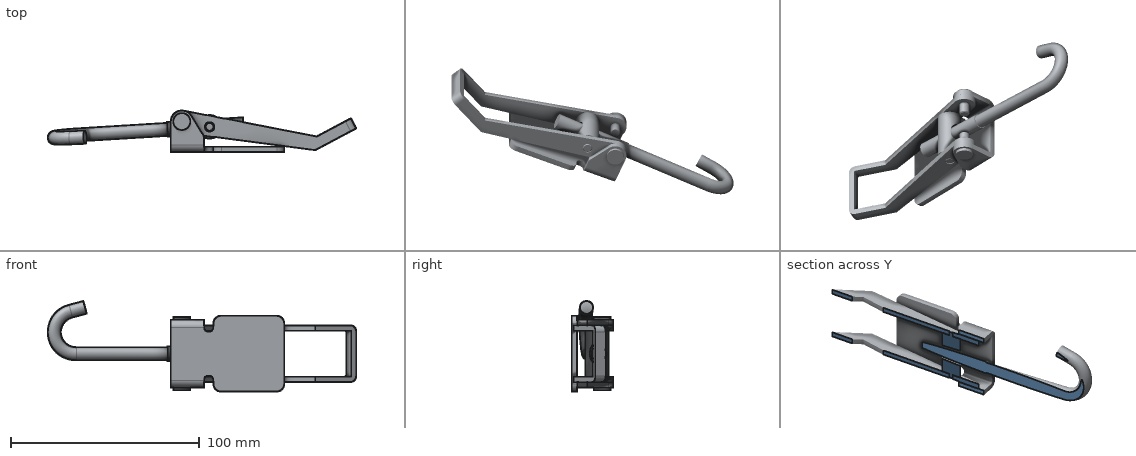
import cadquery as cq
import math

overall_length = 163.4

sheet = 3.0
bracket_height = 36.0
bend_radius = 4.0
arm_left = -5.9
arm_right = 11.8
arm_corner_y = -7.8
arm_tip_radius = 5.9
base_y = -16.2
plate_height = 40.2
plate_left = 16.7
plate_right = 54.2
plate_corner_radius = 4.1

lever_height = bracket_height - 2 * sheet
lever_gap = lever_height - 2 * sheet
lever_tip_radius = arm_tip_radius
elbow_low = (70.5, -15.2)
elbow_high = (71.4, -7.8)
handle_angle = math.radians(28)
handle_length = 24.7
handle_corner_radius = 3.5

rivet_diameter = 5.2
rivet_head_diameter = 9.0
rivet_head = 1.5
rivet_tip_z = 6.2

barrel_x = 14.7
barrel_y = -2.8
barrel_diameter = 12.5
trunnion_diameter = 5.0
end_chamfer = 0.5
slot_length = 10.3

rod_diameter = 7.0
thick_diameter = 8.0
rod_tilt = 3.5
thick_start = -22.4
thick_end = 18.0
hook_radius = 11.5
hook_bend = 165
hook_twist = 3.5
hook_tip = 8.0
hook_left = elbow_low[0] + handle_length * math.cos(handle_angle) - overall_length
lean_shift = hook_radius * math.sin(math.radians(hook_twist)) * math.sin(math.radians(rod_tilt))
bend_centre_x = hook_left + hook_radius + rod_diameter / 2
bend_start = (bend_centre_x - lean_shift - barrel_x) / math.cos(math.radians(rod_tilt))


def cylinder_z(diameter, z_from, z_to, x=0.0, y=0.0):
    """Cylinder along Z between two heights."""
    return cq.Workplane("XY", origin=(x, y, z_from)).circle(diameter / 2).extrude(z_to - z_from)


def box_between(x_range, y_range, z_range):
    """Box spanning the given X, Y and Z ranges."""
    size = [high - low for low, high in (x_range, y_range, z_range)]
    corner = (x_range[0], y_range[0], z_range[0])
    return cq.Workplane("XY").box(*size, centered=False).translate(corner)


def tangent_point(point, radius, side):
    """Where a line from a point touches a circle about the pivot; side +1 is ahead in angle, -1 behind."""
    angle = math.atan2(point[1], point[0]) + side * math.acos(radius / math.hypot(*point))
    return (radius * math.cos(angle), radius * math.sin(angle))


def make_bracket():
    half_height = bracket_height / 2
    channel = box_between((arm_left, arm_right), (base_y, arm_tip_radius), (-half_height, half_height))
    channel = channel.edges("<Y and |X").fillet(bend_radius)
    inner_half = half_height - sheet
    cavity = box_between(
        (arm_left, arm_right), (base_y + sheet, arm_tip_radius), (-inner_half, inner_half)
    )
    cavity = cavity.edges("<Y and |X").fillet(bend_radius - sheet)
    channel = channel.cut(cavity)

    arm_corner = (arm_right, arm_corner_y)
    outline = (
        cq.Workplane("XY", origin=(0, 0, -half_height))
        .moveTo(arm_left, base_y)
        .lineTo(arm_left, 0)
        .threePointArc(
            (-arm_tip_radius * math.sqrt(0.5), arm_tip_radius * math.sqrt(0.5)),
            tangent_point(arm_corner, arm_tip_radius, 1),
        )
        .lineTo(*arm_corner)
        .lineTo(arm_right, base_y)
        .close()
        .extrude(bracket_height)
    )
    channel = channel.intersect(outline)

    plate_y = (base_y, base_y + sheet)
    half_plate = plate_height / 2
    plate = box_between((plate_left, plate_right), plate_y, (-half_plate, half_plate))
    plate = plate.edges("|Y").fillet(plate_corner_radius)
    notch_radius = (plate_left - arm_right) / 2
    notch_z = half_height - bend_radius
    neck_end = plate_left + plate_corner_radius
    neck = box_between((arm_right, neck_end), plate_y, (-notch_z, notch_z))
    bracket = channel.union(plate).union(neck)
    notches = (
        cq.Workplane("XZ", origin=(arm_right + notch_radius, base_y, 0))
        .pushPoints([(0, -notch_z), (0, notch_z)])
        .circle(notch_radius)
        .extrude(-sheet)
    )
    rivet_holes = cylinder_z(rivet_diameter, -half_height, half_height)
    return bracket.cut(notches).cut(rivet_holes)


def make_lever():
    along = (math.cos(handle_angle), math.sin(handle_angle))
    across = (-along[1], along[0])
    handle_width = sum((high - low) * a for high, low, a in zip(elbow_high, elbow_low, across))
    end_low = tuple(p + handle_length * a for p, a in zip(elbow_low, along))
    end_high = tuple(p + handle_width * a for p, a in zip(end_low, across))

    half_height = lever_height / 2
    blank = (
        cq.Workplane("XY", origin=(0, 0, -half_height))
        .moveTo(*tangent_point(elbow_high, lever_tip_radius, 1))
        .threePointArc((-lever_tip_radius, 0), tangent_point(elbow_low, lever_tip_radius, -1))
        .lineTo(*elbow_low)
        .lineTo(*end_low)
        .lineTo(*end_high)
        .lineTo(*elbow_high)
        .close()
        .extrude(lever_height)
    )
    end_edges = cq.selectors.ParallelDirSelector(cq.Vector(*across, 0))
    blank = blank.faces(cq.selectors.DirectionNthSelector(cq.Vector(*along, 0), -1)).edges(end_edges)
    blank = blank.fillet(handle_corner_radius)

    inner_end = tuple(p - sheet * a for p, a in zip(end_low, along))
    reach = 2 * elbow_low[0]
    opening = (
        box_between((-reach, 0), (-reach, reach), (-lever_gap / 2, lever_gap / 2))
        .edges(">X and |Y")
        .fillet(handle_corner_radius - sheet)
        .rotate((0, 0, 0), (0, 0, 1), math.degrees(handle_angle))
        .translate((*inner_end, 0))
    )
    rivet_holes = cylinder_z(rivet_diameter, -half_height, half_height)
    trunnion_holes = cylinder_z(trunnion_diameter, -half_height, half_height, barrel_x, barrel_y)
    return blank.cut(opening).cut(rivet_holes).cut(trunnion_holes)


def make_rivet(side):
    """Rivet through the upper (side = 1) or lower (side = -1) arms, head outside."""
    head_z = bracket_height / 2
    shank = cylinder_z(rivet_diameter, rivet_tip_z, head_z).faces("<Z").chamfer(end_chamfer)
    rivet = shank.union(cylinder_z(rivet_head_diameter, head_z, head_z + rivet_head))
    return rivet if side > 0 else rivet.mirror("XY")


def along_rod(shape):
    """Move a shape from the X axis to the tilted rod axis through the barrel."""
    return shape.rotate((0, 0, 0), (0, 0, 1), rod_tilt).translate((barrel_x, barrel_y, 0))


def make_barrel():
    half_gap = lever_gap / 2
    half_height = lever_height / 2
    body = cylinder_z(barrel_diameter, -half_gap, half_gap, barrel_x, barrel_y)
    trunnions = cylinder_z(trunnion_diameter, -half_height, half_height, barrel_x, barrel_y)
    trunnions = trunnions.faces("<Z or >Z").chamfer(end_chamfer)
    slot = (
        cq.Workplane("YZ", origin=(-barrel_diameter, 0, 0))
        .slot2D(slot_length, thick_diameter, 90)
        .extrude(2 * barrel_diameter)
    )
    return body.union(trunnions).cut(along_rod(slot))


def make_hook():
    bend = math.radians(hook_bend)

    def bend_point(angle):
        return (bend_start - hook_radius * math.sin(angle), hook_radius * (1 - math.cos(angle)))

    bend_end = bend_point(bend)
    tip = (bend_end[0] - hook_tip * math.cos(bend), bend_end[1] + hook_tip * math.sin(bend))
    path = (
        cq.Workplane("XZ")
        .moveTo(thick_start, 0)
        .lineTo(bend_start, 0)
        .threePointArc(bend_point(bend / 2), bend_end)
        .lineTo(*tip)
    )
    rod = cq.Workplane("YZ", origin=(thick_start, 0, 0)).circle(rod_diameter / 2).sweep(path)
    thick = (
        cq.Workplane("YZ", origin=(thick_start, 0, 0))
        .circle(thick_diameter / 2)
        .extrude(thick_end - thick_start)
    )
    hook = rod.union(thick).rotate((0, 0, 0), (1, 0, 0), hook_twist)
    return along_rod(hook)


bracket = make_bracket()
lever = make_lever()
barrel = make_barrel()
hook = make_hook()
rivets = [make_rivet(side) for side in (1, -1)]

result = cq.Compound.makeCompound(
    [bracket.val(), lever.val(), barrel.val(), hook.val(), *(rivet.val() for rivet in rivets)]
)